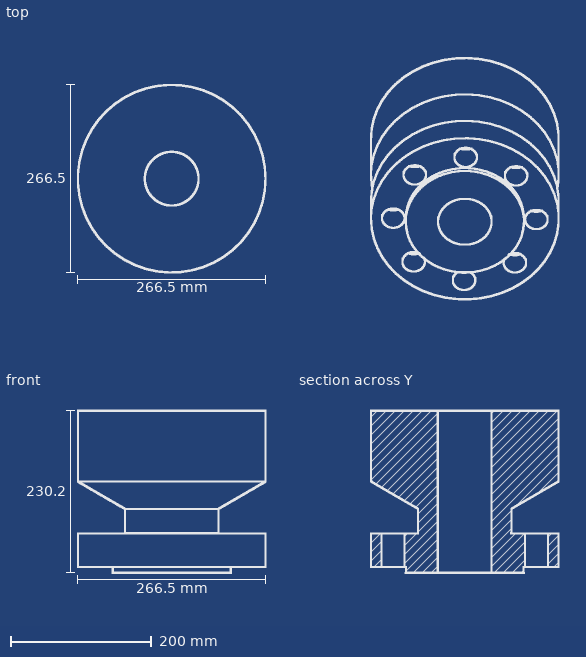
import cadquery as cq

outer_diameter = 266.5
neck_diameter = 133.3
raised_face_diameter = 168.0
bore_diameter = 76.0

raised_face_height = 8.0
flange_thickness = 48.0
neck_height = 34.7
cone_height = 38.7
drum_height = 100.8

relief_depth = 0.3
relief_height = 0.8

bolt_hole_count = 8
bolt_hole_diameter = 32.0
bolt_circle_diameter = 203.2

flange_bottom = raised_face_height
flange_top = flange_bottom + flange_thickness
relief_top = flange_top + relief_height
neck_top = flange_top + neck_height
cone_top = neck_top + cone_height
total_height = cone_top + drum_height


def turned_body():
    """Revolve the half profile of the stacked sections about Z."""
    outer_radius = outer_diameter / 2
    neck_radius = neck_diameter / 2
    relief_radius = neck_radius - relief_depth
    face_radius = raised_face_diameter / 2
    bore_radius = bore_diameter / 2
    return (
        cq.Workplane("XZ")
        .moveTo(bore_radius, 0)
        .lineTo(face_radius, 0)
        .lineTo(face_radius, flange_bottom)
        .lineTo(outer_radius, flange_bottom)
        .lineTo(outer_radius, flange_top)
        .lineTo(relief_radius, flange_top)
        .lineTo(relief_radius, relief_top)
        .lineTo(neck_radius, relief_top)
        .lineTo(neck_radius, neck_top)
        .lineTo(outer_radius, cone_top)
        .lineTo(outer_radius, total_height)
        .lineTo(bore_radius, total_height)
        .close()
        .revolve(360, (0, 0), (0, 1))
    )


def bolt_holes():
    """Cylinders that pass through the flange only, with one on the +X axis."""
    return (
        cq.Workplane("XY")
        .workplane(offset=flange_bottom)
        .polarArray(bolt_circle_diameter / 2, 0, 360, bolt_hole_count)
        .circle(bolt_hole_diameter / 2)
        .extrude(flange_thickness)
    )


result = turned_body().cut(bolt_holes())